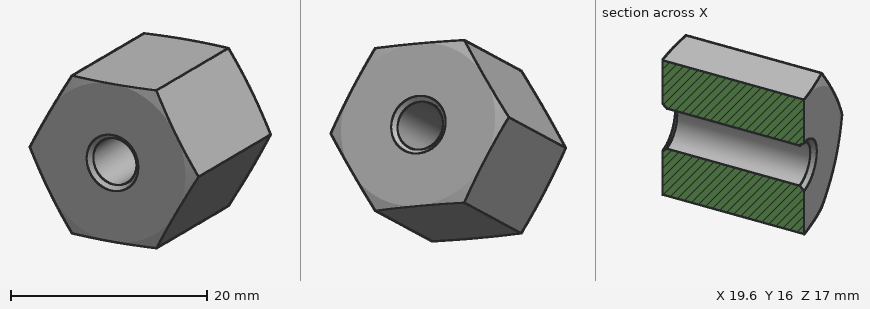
import cadquery as cq
import math

across_corners = 19.63
length = 16.0
bore_diameter = 5.0
countersink_diameter = 6.0
corner_chamfer_angle = 15.0

corner_radius = across_corners / 2
flat_radius = corner_radius * math.cos(math.radians(30))
half_length = length / 2
corner_drop = (corner_radius - flat_radius) * math.tan(math.radians(corner_chamfer_angle))
bore_radius = bore_diameter / 2
countersink_radius = countersink_diameter / 2
countersink_depth = countersink_radius - bore_radius


def revolve_about_y(points):
    """Turn a closed (radius, y) outline about the Y axis."""
    return cq.Workplane("XY").polyline(points).close().revolve(360, (0, 0, 0), (0, 1, 0))


def hexagonal_bar():
    """Hexagon with two corners on the X axis."""
    return cq.Workplane("XZ").polygon(6, across_corners).extrude(half_length, both=True)


def chamfered_envelope():
    """Cylinder through the corners, coned at both ends down to the flats."""
    return revolve_about_y([
        (0, -half_length),
        (flat_radius, -half_length),
        (corner_radius, -half_length + corner_drop),
        (corner_radius, half_length - corner_drop),
        (flat_radius, half_length),
        (0, half_length),
    ])


def countersunk_bore():
    """Through bore with a countersink at each end."""
    return revolve_about_y([
        (0, -half_length),
        (countersink_radius, -half_length),
        (bore_radius, -half_length + countersink_depth),
        (bore_radius, half_length - countersink_depth),
        (countersink_radius, half_length),
        (0, half_length),
    ])


result = hexagonal_bar().intersect(chamfered_envelope()).cut(countersunk_bore())